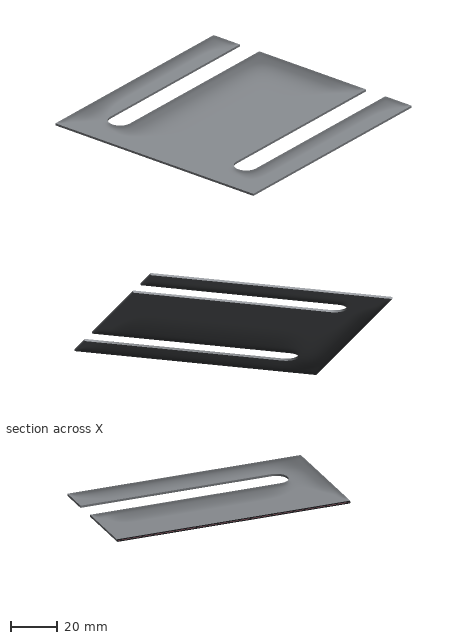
import cadquery as cq

side = 110.0
thickness = 1.0

slot_width = 10.8
slot_spacing = 70.1
slot_end_center_from_edge = 20.0

slot_radius = slot_width / 2
slot_end_y = slot_end_center_from_edge - side / 2


def open_slot(center_x):
    """Cutter for one slot: straight flanks from the +Y edge to a semicircular end."""
    left = center_x - slot_radius
    right = center_x + slot_radius
    return (
        cq.Workplane("XY")
        .moveTo(left, side / 2)
        .lineTo(left, slot_end_y)
        .threePointArc((center_x, slot_end_y - slot_radius), (right, slot_end_y))
        .lineTo(right, side / 2)
        .close()
        .extrude(thickness)
    )


result = cq.Workplane("XY").box(side, side, thickness, centered=(True, True, False))
for slot_x in (-slot_spacing / 2, slot_spacing / 2):
    result = result.cut(open_slot(slot_x))